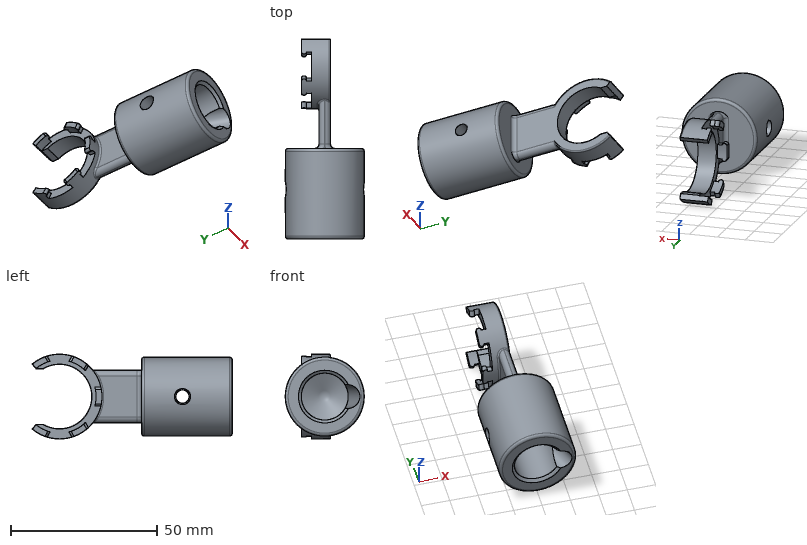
import cadquery as cq
import math

body_diameter = 27.0
body_length = 31.0
body_edge_radius = 1.0
bore_diameter = 16.0
bore_depth = 22.0
bore_tip_angle = 118.0
bore_mouth_chamfer = 1.0

cross_hole_y = 17.0
cross_hole_diameter = 4.5
cross_hole_wide_diameter = 5.5

relief_diameter = 8.2
relief_mouth_reach = 12.0
relief_slant_angle = 20.0

stem_thickness = 4.0
stem_height = 18.0
full_round_clearance = 0.001
stem_edge_radius = stem_thickness / 2 - full_round_clearance
stem_root_radius = 1.5
stem_foot_depth = 3.0

ring_center_y = 59.0
ring_outer_radius = 14.5
ring_inner_radius = 11.0
ring_x_max = stem_thickness / 2
ring_x_min = -4.6
ring_edge_radius = 0.5
ring_stem_radius = 0.6
ring_mouth_half_angle = 50.0
ring_mouth_width = 19.0

finger_spacing_angle = 60.0
fingers_each_side = 2
finger_x_min = -8.0
finger_inner_radius = 12.5
finger_width = 5.0
bead_radius = 0.9
bead_protrusion = 0.75


def cylinder_x(radius, x_start, x_end, y):
    """Cylinder along X from x_start to x_end, centered at (y, z = 0)."""
    return cq.Workplane("YZ", origin=(x_start, y, 0)).circle(radius).extrude(x_end - x_start)


def make_body():
    body = cq.Workplane("XZ").circle(body_diameter / 2).extrude(-body_length)
    return body.faces("<Y or >Y").edges().fillet(body_edge_radius)


def make_stem():
    """Bar along Y, flaring in X at its root and rounded along its +Z and -Z edges.

    A foot sunk in the body lets the flare and the edge rounding run out smoothly.
    """
    half = stem_thickness / 2
    flare_half = half + stem_root_radius
    foot_half = flare_half + stem_edge_radius
    flare_end_y = body_length + stem_root_radius
    arc_mid = stem_root_radius * (1 - math.sqrt(0.5))
    stem = (
        cq.Workplane("XY", origin=(0, 0, -stem_height / 2))
        .moveTo(-half, ring_center_y)
        .lineTo(-half, flare_end_y)
        .threePointArc((-half - arc_mid, body_length + arc_mid), (-flare_half, body_length))
        .lineTo(-foot_half, body_length)
        .lineTo(-foot_half, body_length - stem_foot_depth)
        .lineTo(foot_half, body_length - stem_foot_depth)
        .lineTo(foot_half, body_length)
        .lineTo(flare_half, body_length)
        .threePointArc((half + arc_mid, body_length + arc_mid), (half, flare_end_y))
        .lineTo(half, ring_center_y)
        .close()
        .extrude(stem_height)
    )
    for side in (-1, 1):
        long_edges = cq.selectors.BoxSelector(
            (side * half / 2, 0, -stem_height),
            (side * (flare_half + foot_half) / 2, ring_center_y, stem_height),
        )
        stem = stem.faces("<Z or >Z").edges(long_edges).fillet(stem_edge_radius)
    return stem


def make_head():
    """Stem joined to a solid ring blank, blended where the stem meets the rim."""
    blank = cylinder_x(ring_outer_radius, ring_x_min, ring_x_max, ring_center_y)
    blank = blank.faces(">X").edges().fillet(ring_edge_radius)
    rim_joint = cq.selectors.BoxSelector(
        (ring_x_min, ring_center_y - ring_outer_radius, -stem_height / 2),
        (ring_x_max, ring_center_y - ring_inner_radius, stem_height / 2),
    )
    return make_stem().union(blank).edges(rim_joint).fillet(ring_stem_radius)


def make_finger_stock():
    """One finger pointing to -Y from the ring axis, with a bead along each side of its tip."""
    length = ring_outer_radius
    finger = (
        cq.Workplane("XY", origin=(finger_x_min, ring_center_y - length, 0))
        .box(ring_x_min - finger_x_min, length, finger_width, centered=(False, False, True))
    )
    bead_x = finger_x_min + bead_radius
    bead_z = finger_width / 2 + bead_protrusion - bead_radius
    for side in (-1, 1):
        bead = cq.Workplane("XZ", origin=(bead_x, ring_center_y, side * bead_z))
        finger = finger.union(bead.circle(bead_radius).extrude(length))
    return finger


def make_fingers():
    stock = make_finger_stock()
    axis_start = (0, ring_center_y, 0)
    axis_end = (1, ring_center_y, 0)
    fingers = stock
    for step in range(1, fingers_each_side + 1):
        for side in (-1, 1):
            fingers = fingers.union(stock.rotate(axis_start, axis_end, side * step * finger_spacing_angle))
    shell = cylinder_x(ring_outer_radius, finger_x_min, ring_x_min, ring_center_y)
    shell = shell.cut(cylinder_x(finger_inner_radius, finger_x_min, ring_x_min, ring_center_y))
    return fingers.intersect(shell)


def cut_ring_opening(part):
    """Bore the ring and open it toward +Y: a parallel slot widening into a wedge."""
    depth = ring_x_max - finger_x_min
    bore = cylinder_x(ring_inner_radius, finger_x_min, ring_x_max, ring_center_y)
    slot = (
        cq.Workplane("XY", origin=(finger_x_min, ring_center_y, 0))
        .box(depth, 2 * ring_outer_radius, ring_mouth_width, centered=(False, False, True))
    )
    wedge_y = 2 * ring_outer_radius
    wedge_z = wedge_y * math.tan(math.radians(ring_mouth_half_angle))
    wedge = (
        cq.Workplane("YZ", origin=(finger_x_min, ring_center_y, 0))
        .polyline([(0, 0), (wedge_y, wedge_z), (wedge_y, -wedge_z)])
        .close()
        .extrude(depth)
    )
    return part.cut(bore).cut(slot).cut(wedge)


def make_bore():
    """Blind bore with a chamfered mouth and a conical drill-point bottom."""
    radius = bore_diameter / 2
    tip_length = radius / math.tan(math.radians(bore_tip_angle / 2))
    profile = [
        (0, 0),
        (radius + bore_mouth_chamfer, 0),
        (radius, bore_mouth_chamfer),
        (radius, bore_depth),
        (0, bore_depth + tip_length),
    ]
    return cq.Workplane("XY").polyline(profile).close().revolve(360, (0, 0, 0), (0, 1, 0))


def make_relief():
    """Cylinder leaning toward -X as it goes deeper, reaching its set X at the mouth."""
    slant = math.radians(relief_slant_angle)
    axis_x = relief_mouth_reach - relief_diameter / 2 / math.cos(slant)
    direction = cq.Vector(-math.sin(slant), math.cos(slant), 0)
    lead = relief_diameter
    start = cq.Vector(axis_x, 0, 0) - direction * lead
    length = lead + axis_x / math.sin(slant)
    return cq.Workplane(cq.Solid.makeCylinder(relief_diameter / 2, length, start, direction))


def make_cross_hole():
    narrow = cylinder_x(cross_hole_diameter / 2, 0, body_diameter, cross_hole_y)
    wide = cylinder_x(cross_hole_wide_diameter / 2, -body_diameter, 0, cross_hole_y)
    return narrow.union(wide)


part = make_body().union(make_head())
part = part.union(make_fingers())
part = cut_ring_opening(part)
result = part.cut(make_bore()).cut(make_relief()).cut(make_cross_hole())